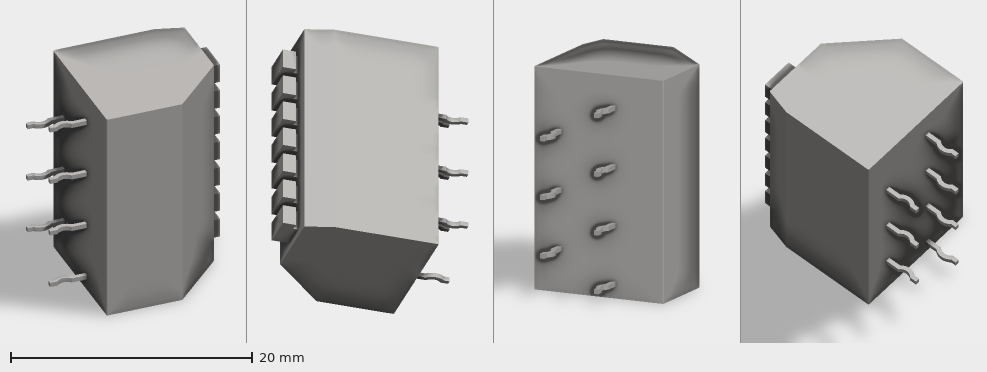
import cadquery as cq
import math

body_width = 12.0
body_depth = 11.5
body_height = 19.0
left_chamfer_x = 0.7
left_chamfer_y = 2.45
right_chamfer_x = 4.8
right_chamfer_y = 4.75
edge_radius = 0.1

pole_count = 7
pole_pitch = 2.5

first_button_z = 1.57
button_left = 1.85
button_width = 3.0
button_length = 1.5
button_height = 1.7
button_notch_width = 0.65
button_notch_depth = 0.36

first_pin_z = 1.245
left_row_x = 2.4
row_spacing = 5.0
pin_thickness = 0.4
pin_length = 3.3
bulge_center = 2.0
bulge_outer_radius = 1.2
bulge_height = 0.31


def make_body():
    """Housing prism with two bevelled back corners and all its Z edges lightly rounded."""
    prism = (
        cq.Workplane("XY")
        .moveTo(0, 0)
        .lineTo(body_width, 0)
        .lineTo(body_width, body_depth - right_chamfer_y)
        .lineTo(body_width - right_chamfer_x, body_depth)
        .lineTo(left_chamfer_x, body_depth)
        .lineTo(0, body_depth - left_chamfer_y)
        .close()
        .extrude(body_height)
    )
    return prism.edges("|Z").fillet(edge_radius)


def make_button(center_z):
    """L-shaped button whose hook overhangs the back face on the left."""
    button_right = button_left + button_width
    stem_left = button_left + button_notch_width
    hook_y = body_depth + button_notch_depth
    tip_y = body_depth + button_length
    return (
        cq.Workplane("XY", origin=(0, 0, center_z - button_height / 2))
        .moveTo(stem_left, body_depth)
        .lineTo(button_right, body_depth)
        .lineTo(button_right, tip_y)
        .lineTo(button_left, tip_y)
        .lineTo(button_left, hook_y)
        .lineTo(stem_left, hook_y)
        .close()
        .extrude(button_height)
    )


def make_pin(center_x, center_z, bulge_side):
    """Flat pin with a bulge of two concentric arcs; bulge_side is +1 for +X, -1 for -X."""
    bulge_inner_radius = bulge_outer_radius - pin_thickness
    arc_offset = bulge_outer_radius - bulge_height
    outer_half = math.sqrt(bulge_outer_radius**2 - arc_offset**2)
    inner_half = math.sqrt(bulge_inner_radius**2 - (arc_offset - pin_thickness) ** 2)
    outer_x = center_x + bulge_side * pin_thickness / 2
    inner_x = center_x - bulge_side * pin_thickness / 2
    rise = bulge_side * bulge_height
    return (
        cq.Workplane("XY", origin=(0, 0, center_z - pin_thickness / 2))
        .moveTo(outer_x, 0)
        .lineTo(outer_x, outer_half - bulge_center)
        .threePointArc((outer_x + rise, -bulge_center), (outer_x, -outer_half - bulge_center))
        .lineTo(outer_x, -pin_length)
        .lineTo(inner_x, -pin_length)
        .lineTo(inner_x, -inner_half - bulge_center)
        .threePointArc((inner_x + rise, -bulge_center), (inner_x, inner_half - bulge_center))
        .lineTo(inner_x, 0)
        .close()
        .extrude(pin_thickness)
    )


result = make_body()
for pole in range(pole_count):
    pole_z = pole * pole_pitch
    result = result.union(make_button(first_button_z + pole_z))
    in_left_row = pole % 2 == 1
    pin_x = left_row_x if in_left_row else left_row_x + row_spacing
    bulge_side = 1 if in_left_row else -1
    result = result.union(make_pin(pin_x, first_pin_z + pole_z, bulge_side))